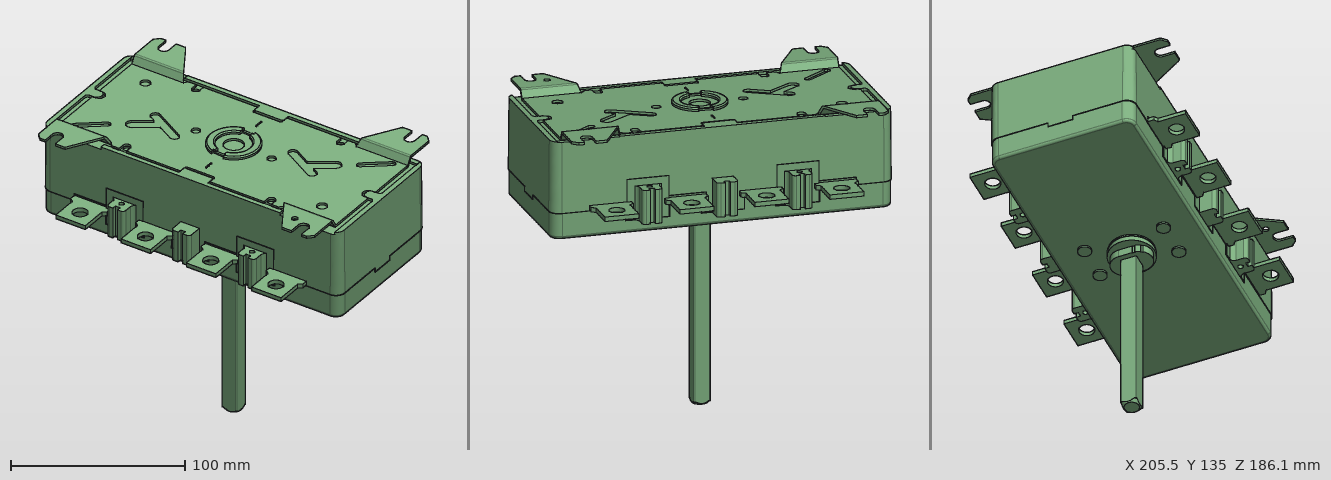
import cadquery as cq
import math

LENGTH = 205.5
DEPTH = 135.0
HEIGHT = 186.1
BRACKET_TOP = 63.7
SHAFT_TIP = BRACKET_TOP - HEIGHT

HOUSING_DEPTH = 90.5
HOUSING_TOP = 59.0
PARTING_Z = 15.6
CORNER_R = 6.2
COVER_DRAFT = 0.5
BASE_STEP = 0.5
BASE_EDGE_R = 1.6
SIDE_TAB_W = 15.5
SIDE_TAB_Z = 12.7
WALL_Y = HOUSING_DEPTH / 2
WALL_T = 4.1

TERMINAL_PITCH = 45.0
TERMINAL_W = 20.3
TERMINAL_BASE_W = 25.3
TERMINAL_Z = 16.2
TERMINAL_T = 2.7
TERMINAL_SHOULDER_Y = 50.3
TERMINAL_SHOULDER_H = 1.6
TERMINAL_HOLE_Y = 57.5
TERMINAL_HOLE_D = 9.2
SLOT_TOP = 20.1
SLOT_DEPTH = 0.6

POST_TIP_Y = 55.0
POST_BOTTOM = 7.5
POST_TOP = 28.1
POST_NOTCH_W = 3.0
POST_NOTCH_H = 2.7
POST_TIP_R = 2.0
CENTER_POST_W = 12.7
AUX_POST_W = 12.0
AUX_FLARE_W = 18.5
AUX_FLARE_H = 2.9
AUX_FLARE_SAG = 0.3
AUX_HOLE_Y = 48.5
AUX_HOLE_D = 3.0
PANEL_W = 25.3
PANEL_TOP = 32.5
PANEL_TAB_W = 26.7
CENTER_TAB_W = 25.9
PANEL_STEP = 0.2

PLATE_T = 1.5
PLATE_DROP = 0.2
PLATE_TOP = HOUSING_TOP - PLATE_DROP
POCKET_FLOOR = PLATE_TOP - PLATE_T
POCKET_L = 198.0
POCKET_W = 83.0
RIM_L = 123.3
BACK_RIM_DROP = 0.3
BACK_RIM_TOP = HOUSING_TOP - BACK_RIM_DROP
TONGUE_W = 20.1
TONGUE_TIP_Y = 36.0
TONGUE_R = 1.2
TONGUE_ROOT = 2.0
KEY_W = 7.2
KEY_TIP_X = 90.8
KEY_ROOT_R = 1.8
TONGUE_GAP = 1.6

PLATE_L = 190.2
PLATE_W = 74.4
PLATE_MID_L = 119.2
PLATE_MID_W = 79.7
PLATE_MID_CHAMFER = 2.3
PEG_SLOT_X = 50.0
PEG_SLOT_Y = 35.7
PEG_SLOT_W = 5.0
PEG_HOLE_D = 4.5
PEG_HOLE_DEPTH = 1.2
LARGE_HOLE = (-77.7, 25.0)
LARGE_HOLE_D = 6.4
SMALL_HOLE_X = 26.0
SMALL_HOLE_D = 5.3
DIAGONAL_SLOT = ((72.1, 22.5), (86.7, 34.0))
DIAGONAL_SLOT_W = 4.1
Y_SLOT_BAR = ((32.9, 12.0), (54.0, 0.0))
Y_SLOT_BAR_W = 6.0
Y_SLOT_ARM = ((47.3, 5.8), (60.5, 14.8))
Y_SLOT_ARM_W = 7.2
MARK_Y = 25.9
MARK_L = 5.8
MARK_W = 0.8

BRACKET_TIP_Y = 62.5
BRACKET_KNEE_Y = 40.0
BRACKET_TIP_X = 74.8
BRACKET_ROOT_X = 59.5
BRACKET_BEND_R = 1.2
BRACKET_CHAMFER = 3.3
BRACKET_SLOT_X = 84.9
BRACKET_SLOT_W = 7.0
BRACKET_SLOT_END_Y = 51.5
BRACKET_HOLE = (76.0, -50.7)
BRACKET_HOLE_D = 3.7

RING_R = 16.2
RING_BORE_R = 10.9
RING_H = 2.0
RING_CHAMFER = 0.8
RING_GAP_W = 8.6
RING_GAP_ANGLE = -3.5
BRIDGE_R = 13.4
BRIDGE_W = 7.0
BRIDGE_T = 1.5
BRIDGE_H = 1.0
CENTER_RECESS_R = 6.2

COLLAR_R = 13.8
COLLAR_END = -1.5
DISC_R = 14.2
DISC_END = -5.0
HUB_L = 25.9
HUB_W = 16.6
HUB_END = -10.0
HUB_GROOVE_W = 1.5
HUB_GROOVE_ANGLES = (0, 35)
HUB_GROOVE_DEPTH = 0.5
SHAFT_W = 10.0
SHAFT_EDGE_R = 0.6
SHAFT_TIP_H = 1.8
SHAFT_TIP_INSET = 0.6
FOOT_X = 11.0
FOOT_Y = 24.7
FOOT_D = 8.2
FOOT_H = 1.2


def block(x0, x1, y0, y1, z0, z1):
    """Box between two opposite corners."""
    return cq.Workplane("XY").box(x1 - x0, y1 - y0, z1 - z0, centered=False).translate((x0, y0, z0))


def rod(radius, z0, z1, x=0.0, y=0.0):
    """Upright cylinder."""
    return cq.Workplane("XY", origin=(x, y, z0)).circle(radius).extrude(z1 - z0)


def round_slot(ends, width, z0, z1):
    """Upright prism of a round-ended slot between two end centres."""
    (xa, ya), (xb, yb) = ends
    span = math.hypot(xb - xa, yb - ya)
    angle = math.degrees(math.atan2(yb - ya, xb - xa))
    return (
        cq.Workplane("XY", origin=((xa + xb) / 2, (ya + yb) / 2, z0))
        .slot2D(span + width, width, angle)
        .extrude(z1 - z0)
    )


def both_y(shape):
    """The shape joined with its mirror image across the XZ plane."""
    return shape.union(shape.mirror("XZ"))


def half_turn_pair(shape):
    """The shape joined with its copy turned half way round Z."""
    return shape.union(shape.rotate((0, 0, 0), (0, 0, 1), 180))


def make_housing():
    base_l = LENGTH - 2 * BASE_STEP
    base_w = HOUSING_DEPTH - 2 * BASE_STEP
    base = cq.Workplane("XY").rect(base_l, base_w).extrude(PARTING_Z)
    base = base.edges("|Z").fillet(CORNER_R).faces("<Z").edges().fillet(BASE_EDGE_R)

    skirt_l = LENGTH + 2 * (SIDE_TAB_Z - POST_BOTTOM) * math.tan(math.radians(COVER_DRAFT))
    skirt = cq.Sketch().rect(skirt_l, HOUSING_DEPTH).vertices().fillet(CORNER_R)
    cover = (
        cq.Workplane("XY", origin=(0, 0, POST_BOTTOM))
        .placeSketch(skirt)
        .extrude(HOUSING_TOP - POST_BOTTOM, taper=COVER_DRAFT)
    )
    kept = block(-LENGTH, LENGTH, -LENGTH, LENGTH, PARTING_Z, HOUSING_TOP)
    kept = kept.union(block(-LENGTH, LENGTH, -SIDE_TAB_W / 2, SIDE_TAB_W / 2, SIDE_TAB_Z, PARTING_Z))
    for x, width in ((-TERMINAL_PITCH, PANEL_TAB_W), (0, CENTER_TAB_W), (TERMINAL_PITCH, PANEL_TAB_W)):
        kept = kept.union(block(x - width / 2, x + width / 2, -LENGTH, LENGTH, POST_BOTTOM, PARTING_Z))
    return base.union(cover.intersect(kept))


def make_panels():
    """Panels on the +Y wall, behind the outer posts."""
    panels = cq.Workplane("XY")
    for x in (-TERMINAL_PITCH, TERMINAL_PITCH):
        x0 = x - PANEL_W / 2
        panels = panels.union(
            block(x0, x0 + PANEL_W, WALL_Y - WALL_T, WALL_Y + PANEL_STEP, POST_BOTTOM, PANEL_TOP)
        )
    return panels


def make_terminal_recesses():
    """Shallow wall recesses over the terminals on the -X side of each panel."""
    recesses = cq.Workplane("XY")
    for panel_x in (-TERMINAL_PITCH, TERMINAL_PITCH):
        x0 = panel_x - TERMINAL_PITCH / 2 - TERMINAL_BASE_W / 2
        x1 = panel_x - PANEL_W / 2
        recess = block(x0, x1, WALL_Y - SLOT_DEPTH, WALL_Y + SLOT_DEPTH, PARTING_Z, SLOT_TOP)
        recesses = recesses.union(recess)
    return recesses


def make_terminal(x):
    half = TERMINAL_W / 2
    base_half = TERMINAL_BASE_W / 2
    inner_y = WALL_Y - WALL_T
    shoulder_y = TERMINAL_SHOULDER_Y - TERMINAL_SHOULDER_H
    outline = [
        (-base_half, inner_y),
        (-base_half, shoulder_y),
        (-half, TERMINAL_SHOULDER_Y),
        (-half, DEPTH / 2),
        (half, DEPTH / 2),
        (half, TERMINAL_SHOULDER_Y),
        (base_half, shoulder_y),
        (base_half, inner_y),
    ]
    plate = cq.Workplane("XY", origin=(x, 0, TERMINAL_Z)).polyline(outline).close().extrude(TERMINAL_T)
    return plate.cut(rod(TERMINAL_HOLE_D / 2, TERMINAL_Z, TERMINAL_Z + TERMINAL_T, x, TERMINAL_HOLE_Y))


def make_post(x, width):
    """Upright post on the +Y wall with a notch in its tip."""
    post = block(x - width / 2, x + width / 2, WALL_Y - WALL_T, POST_TIP_Y, POST_BOTTOM, POST_TOP)
    post = post.faces(">Y").edges("|Z").fillet(POST_TIP_R)
    half_notch = POST_NOTCH_W / 2
    return post.cut(
        block(x - half_notch, x + half_notch, POST_TIP_Y - POST_NOTCH_H, POST_TIP_Y, POST_BOTTOM, POST_TOP)
    )


def make_aux_post(x):
    """Post with a concave flare at the wall and a hole down through it."""
    half = AUX_POST_W / 2
    flare_half = AUX_FLARE_W / 2
    mid_half = half + AUX_FLARE_SAG * (flare_half - half)
    mid_y = WALL_Y + AUX_FLARE_SAG * AUX_FLARE_H
    end_y = WALL_Y + AUX_FLARE_H
    flare = (
        cq.Workplane("XY", origin=(x, 0, POST_BOTTOM))
        .moveTo(-flare_half, WALL_Y - WALL_T)
        .lineTo(-flare_half, WALL_Y)
        .threePointArc((-mid_half, mid_y), (-half, end_y))
        .lineTo(half, end_y)
        .threePointArc((mid_half, mid_y), (flare_half, WALL_Y))
        .lineTo(flare_half, WALL_Y - WALL_T)
        .close()
        .extrude(POST_TOP - POST_BOTTOM)
    )
    post = make_post(x, AUX_POST_W).union(flare)
    return post.cut(rod(AUX_HOLE_D / 2, POST_BOTTOM, POST_TOP, x, AUX_HOLE_Y))


def make_connections():
    """Everything that stands out of the +Y wall."""
    connections = make_post(0, CENTER_POST_W)
    for x in (-TERMINAL_PITCH, TERMINAL_PITCH):
        connections = connections.union(make_aux_post(x))
    for i in range(4):
        connections = connections.union(make_terminal((i - 1.5) * TERMINAL_PITCH))
    return connections


def make_tongues(tip_gap, z0, z1):
    """The four rim tongues, with their tips moved by tip_gap towards the centre of the plate."""
    tongue = block(-TONGUE_W / 2, TONGUE_W / 2, TONGUE_TIP_Y - tip_gap, WALL_Y - TONGUE_ROOT, z0, z1)
    tongue = tongue.faces("<Y").edges("|Z").fillet(TONGUE_R)
    tip_center = KEY_TIP_X - tip_gap + KEY_W / 2
    key = block(tip_center, LENGTH / 2 - TONGUE_ROOT, -KEY_W / 2, KEY_W / 2, z0, z1)
    key = key.union(rod(KEY_W / 2, z0, z1, tip_center))
    return half_turn_pair(tongue).union(half_turn_pair(key))


def make_pocket():
    """Space cut from the cover for the mounting plate and its brackets."""
    pocket = block(-POCKET_L / 2, POCKET_L / 2, -POCKET_W / 2, POCKET_W / 2, POCKET_FLOOR, HOUSING_TOP)
    pocket = pocket.cut(make_tongues(0, POCKET_FLOOR, HOUSING_TOP))
    for side in (-1, 1):
        x = side * POCKET_L / 2
        low_corner = (x - KEY_ROOT_R, -KEY_W, POCKET_FLOOR)
        high_corner = (x + KEY_ROOT_R, KEY_W, HOUSING_TOP)
        roots = cq.selectors.BoxSelector(low_corner, high_corner)
        pocket = pocket.edges(roots).edges("|Z").fillet(KEY_ROOT_R)
        x0, x1 = sorted((side * RIM_L / 2, x))
        pocket = pocket.union(block(x0, x1, -HOUSING_DEPTH, -PLATE_W / 2, POCKET_FLOOR, HOUSING_TOP))
        pocket = pocket.union(block(x0, x1, PLATE_W / 2, HOUSING_DEPTH, BACK_RIM_TOP, HOUSING_TOP))
    return pocket


def make_plate_openings():
    z0, z1 = POCKET_FLOOR, PLATE_TOP
    one_side = rod(LARGE_HOLE_D / 2, z0, z1, *LARGE_HOLE)
    one_side = one_side.union(rod(SMALL_HOLE_D / 2, z0, z1, SMALL_HOLE_X))
    one_side = one_side.union(round_slot(DIAGONAL_SLOT, DIAGONAL_SLOT_W, z0, z1))
    one_side = one_side.union(round_slot(Y_SLOT_BAR, Y_SLOT_BAR_W, z0, z1))
    one_side = one_side.union(round_slot(Y_SLOT_ARM, Y_SLOT_ARM_W, z0, z1))
    mark_y0 = MARK_Y - MARK_L / 2
    one_side = one_side.union(block(-MARK_W / 2, MARK_W / 2, mark_y0, mark_y0 + MARK_L, z0, z1))
    for x in (-PEG_SLOT_X, PEG_SLOT_X):
        peg_slot = ((x, PEG_SLOT_Y), (x, PLATE_MID_W / 2 + PEG_SLOT_W))
        one_side = one_side.union(round_slot(peg_slot, PEG_SLOT_W, z0, z1))
    openings = half_turn_pair(one_side)
    return openings.union(rod(CENTER_RECESS_R, z0, z1))


def make_plate():
    plate = block(-PLATE_L / 2, PLATE_L / 2, -PLATE_W / 2, PLATE_W / 2, POCKET_FLOOR, PLATE_TOP)
    half_l, half_w = PLATE_MID_L / 2, PLATE_MID_W / 2
    middle = block(-half_l, half_l, -half_w, half_w, POCKET_FLOOR, PLATE_TOP)
    plate = plate.union(middle.edges("|Z").chamfer(PLATE_MID_CHAMFER))
    plate = plate.cut(make_tongues(TONGUE_GAP, POCKET_FLOOR, PLATE_TOP))
    return plate.cut(make_plate_openings())


def make_bracket():
    """Bracket at the (+X, +Y) corner: a bent strip trimmed to its plan outline."""
    root_y = PLATE_W / 2
    inner_knee_y = BRACKET_KNEE_Y + PLATE_T / 2
    inner_root_y = root_y + PLATE_T / 2
    side_profile = [
        (root_y - PLATE_T, POCKET_FLOOR),
        (root_y - PLATE_T, PLATE_TOP),
        (root_y, PLATE_TOP),
        (BRACKET_KNEE_Y, BRACKET_TOP),
        (BRACKET_TIP_Y, BRACKET_TOP),
        (BRACKET_TIP_Y, BRACKET_TOP - PLATE_T),
        (inner_knee_y, BRACKET_TOP - PLATE_T),
        (inner_root_y, POCKET_FLOOR),
    ]
    strip = cq.Workplane("YZ").polyline(side_profile).close().extrude(PLATE_L / 2)
    strip = strip.faces(">Z").edges("<Y").fillet(BRACKET_BEND_R)
    strip = strip.faces("<Z").edges(">Y").fillet(BRACKET_BEND_R)

    outer_x = PLATE_L / 2
    plan = [
        (BRACKET_ROOT_X, root_y - PLATE_T),
        (BRACKET_ROOT_X, root_y),
        (BRACKET_TIP_X, BRACKET_TIP_Y),
        (outer_x - BRACKET_CHAMFER, BRACKET_TIP_Y),
        (outer_x, BRACKET_TIP_Y - BRACKET_CHAMFER),
        (outer_x, root_y - PLATE_T),
    ]
    outline = (
        cq.Workplane("XY", origin=(0, 0, POCKET_FLOOR))
        .polyline(plan)
        .close()
        .extrude(BRACKET_TOP - POCKET_FLOOR)
    )
    slot_center_y = BRACKET_SLOT_END_Y + BRACKET_SLOT_W / 2
    slot_ends = ((BRACKET_SLOT_X, slot_center_y), (BRACKET_SLOT_X, BRACKET_TIP_Y + BRACKET_SLOT_W))
    return strip.intersect(outline).cut(round_slot(slot_ends, BRACKET_SLOT_W, POCKET_FLOOR, BRACKET_TOP))


def make_brackets():
    corner = both_y(make_bracket())
    brackets = corner.union(corner.mirror("YZ"))
    return brackets.cut(rod(BRACKET_HOLE_D / 2, POCKET_FLOOR, BRACKET_TOP, *BRACKET_HOLE))


def make_ring():
    """Chamfered ring split by two gaps, each closed by a low bridge."""
    ring = cq.Workplane("XY", origin=(0, 0, PLATE_TOP)).circle(RING_R).circle(RING_BORE_R).extrude(RING_H)
    ring = ring.faces(">Z").edges().chamfer(RING_CHAMFER)
    half_gap = RING_GAP_W / 2
    half_bridge = BRIDGE_W / 2
    ring = ring.cut(block(-half_bridge, half_bridge, -RING_R, RING_R, PLATE_TOP, PLATE_TOP + RING_H))
    ring = ring.cut(both_y(block(-half_gap, half_gap, BRIDGE_R, RING_R, PLATE_TOP, PLATE_TOP + RING_H)))
    bridge = block(
        -half_gap, half_gap, BRIDGE_R - BRIDGE_T / 2, BRIDGE_R + BRIDGE_T / 2, PLATE_TOP, PLATE_TOP + BRIDGE_H
    )
    return ring.union(both_y(bridge)).rotate((0, 0, 0), (0, 0, 1), RING_GAP_ANGLE)


def make_hub():
    """Round-ended hub, long along Y, with two grooves in its -X, -Y quarter."""
    end_center = (HUB_L - HUB_W) / 2
    hub = round_slot(((0, -end_center), (0, end_center)), HUB_W, HUB_END, DISC_END)
    for angle in HUB_GROOVE_ANGLES:
        groove = block(
            -HUB_W, -HUB_W / 2 + HUB_GROOVE_DEPTH, -HUB_GROOVE_W / 2, HUB_GROOVE_W / 2, HUB_END, DISC_END
        )
        groove = groove.rotate((0, 0, 0), (0, 0, 1), angle).translate((0, -end_center, 0))
        hub = hub.cut(groove)
    return hub


def make_shaft():
    """Square shaft with its tip turned down to a cone."""
    shaft = cq.Workplane("XY", origin=(0, 0, SHAFT_TIP)).rect(SHAFT_W, SHAFT_W).extrude(-SHAFT_TIP)
    shaft = shaft.edges("|Z").fillet(SHAFT_EDGE_R)
    tip_r = SHAFT_W / 2 - SHAFT_TIP_INSET
    full_r = SHAFT_W
    envelope = (
        cq.Workplane("XZ")
        .polyline(
            [
                (0, SHAFT_TIP),
                (tip_r, SHAFT_TIP),
                (tip_r + SHAFT_TIP_H, SHAFT_TIP + SHAFT_TIP_H),
                (full_r, SHAFT_TIP + SHAFT_TIP_H),
                (full_r, 0),
                (0, 0),
            ]
        )
        .close()
        .revolve(360, (0, 0, 0), (0, 1, 0))
    )
    return shaft.intersect(envelope)


def make_drive():
    drive = rod(COLLAR_R, COLLAR_END, 0).union(rod(DISC_R, DISC_END, COLLAR_END))
    drive = drive.union(make_hub()).union(make_shaft())
    for x in (-FOOT_X, FOOT_X):
        for y in (-FOOT_Y, FOOT_Y):
            drive = drive.union(rod(FOOT_D / 2, -FOOT_H, 0, x, y))
    return drive


housing = make_housing().cut(both_y(make_terminal_recesses())).union(both_y(make_panels()))
housing = housing.cut(make_pocket())
for peg_x in (-PEG_SLOT_X, PEG_SLOT_X):
    for peg_y in (-PEG_SLOT_Y, PEG_SLOT_Y):
        housing = housing.cut(rod(PEG_HOLE_D / 2, POCKET_FLOOR - PEG_HOLE_DEPTH, POCKET_FLOOR, peg_x, peg_y))

result = housing.union(both_y(make_connections()))
result = result.union(make_plate()).union(make_brackets()).union(make_ring()).union(make_drive())